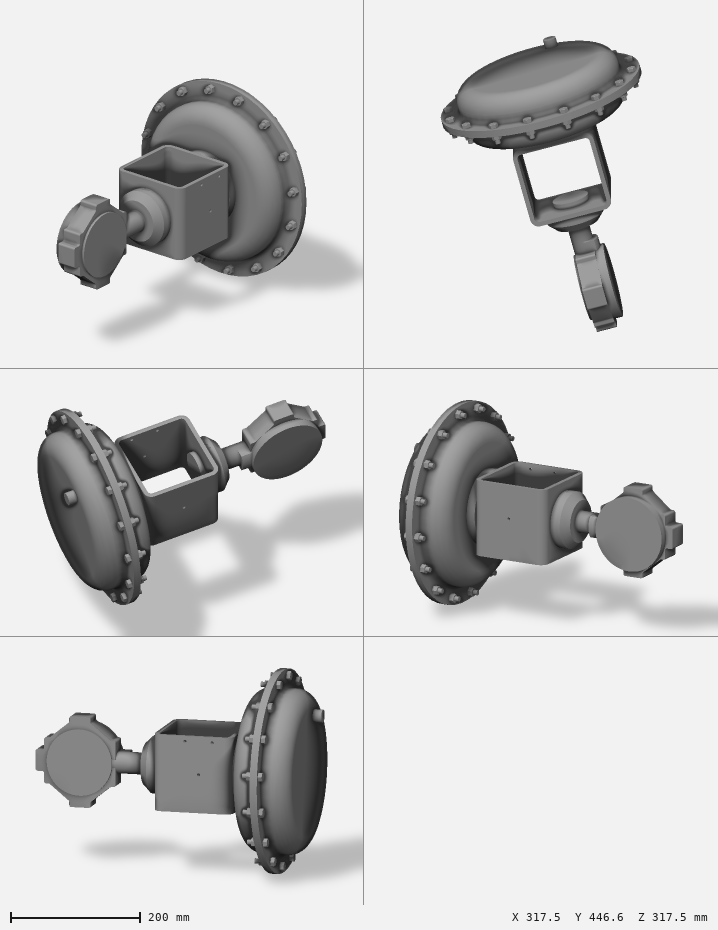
import cadquery as cq
import math


flange_diameter = 317.5
flange_half_thickness = 5.7
casing_radius = 128.8
casing_half_height = 46.1
casing_shoulder_radius = 27.2
casing_root_radius = 6.35

bolt_count = 16
bolt_circle_radius = 147.6
first_bolt_angle = 7.5
hex_across_flats = 12.7
bolt_head_height = 6.4
nut_height = 7.8
bolt_diameter = 7.94
bolt_overhang = 6.8

inlet_diameter = 20.0
inlet_end_y = 60.0
inlet_x = -29.2
inlet_z = 83.8

collar_radius = 60.3
yoke_back_y = -60.3
yoke_depth = 125.8
yoke_width = 128.6
yoke_height = 120.0
yoke_wall = 6.8
yoke_corner_radius = 13.5
yoke_front_y = yoke_back_y - yoke_depth
yoke_mid_y = yoke_back_y - yoke_depth / 2
left_hole_diameter = 5.0
left_hole_z = 6.4
bracket_hole_diameter = 5.0
bracket_hole_y = -113.0
bracket_hole_spacing = 43.4
bracket_hole_z = 51.6

locknut_radius = 28.1
locknut_height = 8.3
hub_radius = 45.0
hub_straight_length = 16.5
hub_cone_length = 12.0
hub_nose_radius = 33.5
hub_end_y = yoke_front_y - hub_straight_length - hub_cone_length

arrow_depth = 0.5
arrow_length = 14.0
arrow_head_length = 5.5
arrow_head_half_width = 5.4
arrow_shaft_half_width = 2.7
arrow_tip_x = -7.5
arrow_y = yoke_front_y - 6.7

overall_length = 446.65
handle_reach = 70.7
handle_y = inlet_end_y - overall_length + handle_reach
grip_half_width = 15.8
grip_box_half_length = 57.2
grip_box_half_height = 36.0
lobe_half_width = 17.0
lobe_top_z = 71.2
lobe_root_z = 62.0
lobe_corner_radius = 3.0
rim_radius = 58.7
rim_left_x = -29.2
dial_radius = 52.0
dial_right_x = 19.9
flank_end_y = 49.0

stem_radius = lobe_half_width
block_start_y = -242.0
block_side_x = -18.7
block_crown_x = -24.8
stem_fillet_radius = 1.5


def cylinder_y(radius, y_from, y_to, x=0, z=0):
    """Cylinder along Y between two Y positions."""
    start = cq.Vector(x, y_from, z)
    direction = cq.Vector(0, y_to - y_from, 0)
    return cq.Workplane(cq.Solid.makeCylinder(radius, abs(y_to - y_from), start, direction))


def cylinder_x(radius, x_from, x_to, y, z=0):
    """Cylinder along +X between two X positions."""
    start = cq.Vector(x_from, y, z)
    return cq.Workplane(cq.Solid.makeCylinder(radius, x_to - x_from, start, cq.Vector(1, 0, 0)))


def casing():
    """Flanged casing with rounded shoulders, mirrored about the flange mid plane."""
    half_arc = math.sqrt(0.5)
    root_y = flange_half_thickness + casing_root_radius
    shoulder_y = casing_half_height - casing_shoulder_radius
    flat_radius = casing_radius - casing_shoulder_radius
    shoulder_mid = (
        flat_radius + casing_shoulder_radius * half_arc,
        shoulder_y + casing_shoulder_radius * half_arc,
    )
    root_mid = (
        casing_radius + casing_root_radius * (1 - half_arc),
        root_y - casing_root_radius * half_arc,
    )
    half = (
        cq.Workplane("XY")
        .lineTo(flange_diameter / 2, 0)
        .lineTo(flange_diameter / 2, flange_half_thickness)
        .lineTo(casing_radius + casing_root_radius, flange_half_thickness)
        .threePointArc(root_mid, (casing_radius, root_y))
        .lineTo(casing_radius, shoulder_y)
        .threePointArc(shoulder_mid, (flat_radius, casing_half_height))
        .lineTo(0, casing_half_height)
        .close()
        .revolve(360, (0, 0, 0), (0, 1, 0))
    )
    return half.union(half.mirror("XZ"))


def chamfered_hex(height):
    """Hexagon prism standing on Z = 0 with its top corners turned off."""
    flat_radius = hex_across_flats / 2
    corner_radius = flat_radius / math.cos(math.radians(30))
    chamfer_drop = corner_radius - flat_radius
    prism = cq.Workplane("XY").polygon(6, 2 * corner_radius).extrude(height)
    turned = (
        cq.Workplane("XZ")
        .lineTo(corner_radius, 0)
        .lineTo(corner_radius, height - chamfer_drop)
        .lineTo(flat_radius, height)
        .lineTo(0, height)
        .close()
        .revolve(360, (0, 0, 0), (0, 1, 0))
    )
    return prism.intersect(turned)


def flange_bolts():
    """Ring of bolts: heads on the back of the flange, nuts and bolt ends on the front."""
    head = chamfered_hex(bolt_head_height).translate((0, 0, flange_half_thickness))
    nut = chamfered_hex(nut_height).translate((0, 0, flange_half_thickness)).mirror("XY")
    shank_length = flange_half_thickness + nut_height + bolt_overhang
    shank = cq.Workplane("XY").circle(bolt_diameter / 2).extrude(-shank_length)
    bolt = head.union(nut).union(shank)
    bolt = bolt.rotate((0, 0, 0), (1, 0, 0), -90).translate((bolt_circle_radius, 0, 0))
    ring = cq.Workplane("XY")
    for index in range(bolt_count):
        angle = first_bolt_angle + index * 360 / bolt_count
        ring = ring.add(bolt.rotate((0, 0, 0), (0, -1, 0), angle))
    return ring


def yoke():
    """Square tube with rounded corners and small holes in its side walls."""
    outer = (
        cq.Workplane("XY")
        .box(yoke_width, yoke_depth, yoke_height)
        .edges("|Z")
        .fillet(yoke_corner_radius)
    )
    inner = (
        cq.Workplane("XY")
        .box(yoke_width - 2 * yoke_wall, yoke_depth - 2 * yoke_wall, yoke_height)
        .edges("|Z")
        .fillet(yoke_corner_radius - yoke_wall)
    )
    tube = outer.cut(inner).translate((0, yoke_mid_y, 0))
    tube = tube.cut(cylinder_x(left_hole_diameter / 2, -yoke_width / 2, 0, yoke_mid_y, left_hole_z))
    bracket_holes = [
        (bracket_hole_y, 0),
        (bracket_hole_y + bracket_hole_spacing / 2, bracket_hole_z),
        (bracket_hole_y - bracket_hole_spacing / 2, bracket_hole_z),
    ]
    for y, z in bracket_holes:
        tube = tube.cut(cylinder_x(bracket_hole_diameter / 2, 0, yoke_width / 2, y, z))
    return tube


def hub():
    """Coned hub with an engraved arrow, and the locknut inside the yoke."""
    cone_start_y = yoke_front_y - hub_straight_length
    body = (
        cq.Workplane("XY")
        .moveTo(0, yoke_front_y)
        .lineTo(hub_radius, yoke_front_y)
        .lineTo(hub_radius, cone_start_y)
        .lineTo(hub_nose_radius, hub_end_y)
        .lineTo(0, hub_end_y)
        .close()
        .revolve(360, (0, 0, 0), (0, 1, 0))
    )
    neck_x = arrow_tip_x + arrow_head_length
    tail_x = arrow_tip_x + arrow_length
    arrow = (
        cq.Workplane("XY")
        .polyline([
            (arrow_tip_x, arrow_y),
            (neck_x, arrow_y + arrow_head_half_width),
            (neck_x, arrow_y + arrow_shaft_half_width),
            (tail_x, arrow_y + arrow_shaft_half_width),
            (tail_x, arrow_y - arrow_shaft_half_width),
            (neck_x, arrow_y - arrow_shaft_half_width),
            (neck_x, arrow_y - arrow_head_half_width),
        ])
        .close()
        .extrude(hub_radius)
    )
    floor = cylinder_y(hub_radius - arrow_depth, yoke_front_y, hub_end_y)
    body = body.cut(arrow.cut(floor))
    inner_face_y = yoke_front_y + yoke_wall
    return body.union(cylinder_y(locknut_radius, yoke_front_y, inner_face_y + locknut_height))


def stem_fillet(face_y, side):
    """Fillet ring between the stem and a face at face_y, on the face's +Y (1) or -Y (-1) side."""
    inset = stem_fillet_radius * (1 - math.sqrt(0.5))
    return (
        cq.Workplane("XY")
        .moveTo(0, face_y)
        .lineTo(stem_radius + stem_fillet_radius, face_y)
        .threePointArc(
            (stem_radius + inset, face_y + side * inset),
            (stem_radius, face_y + side * stem_fillet_radius),
        )
        .lineTo(0, face_y + side * stem_fillet_radius)
        .close()
        .revolve(360, (0, 0, 0), (0, 1, 0))
    )


def stem():
    """Round stem with a crowned half block on its left side, filleted at the hub and the block."""
    rod = cylinder_y(stem_radius, hub_end_y, handle_y)
    block = (
        cq.Workplane("XZ", origin=(0, block_start_y, 0))
        .moveTo(0, stem_radius)
        .lineTo(block_side_x, stem_radius)
        .threePointArc((block_crown_x, 0), (block_side_x, -stem_radius))
        .lineTo(0, -stem_radius)
        .close()
        .extrude(block_start_y - handle_y)
    )
    left_half = (
        cq.Workplane("XY")
        .box(2 * stem_radius, stem_radius, 2 * stem_radius)
        .translate((-stem_radius, block_start_y, 0))
    )
    block_fillet = stem_fillet(block_start_y, 1).intersect(left_half)
    return rod.union(block).union(stem_fillet(hub_end_y, -1)).union(block_fillet)


def handle():
    """Lobed grip between a rim disc on the left and a dial disc on the right."""
    upper = [
        (-handle_reach, lobe_half_width),
        (-grip_box_half_length, lobe_half_width),
        (-grip_box_half_length, grip_box_half_height),
        (-flank_end_y, grip_box_half_height),
        (-lobe_half_width, lobe_root_z),
        (-lobe_half_width, lobe_top_z),
        (lobe_half_width, lobe_top_z),
        (lobe_half_width, lobe_root_z),
        (flank_end_y, grip_box_half_height),
        (grip_box_half_length, grip_box_half_height),
    ]
    lower = [(y, -z) for y, z in reversed(upper)]
    grip = (
        cq.Workplane("YZ")
        .polyline(upper + lower)
        .close()
        .extrude(grip_half_width, both=True)
        .edges("|X")
        .fillet(lobe_corner_radius)
        .translate((0, handle_y, 0))
    )
    rim = cylinder_x(rim_radius, rim_left_x, -grip_half_width, handle_y)
    dial = cylinder_x(dial_radius, grip_half_width, dial_right_x, handle_y)
    return grip.union(rim).union(dial)


inlet = cylinder_y(inlet_diameter / 2, casing_half_height, inlet_end_y, inlet_x, inlet_z)
collar = cylinder_y(collar_radius, -casing_half_height, yoke_back_y)

result = (
    casing()
    .union(flange_bolts())
    .union(inlet)
    .union(collar)
    .union(yoke())
    .union(hub())
    .union(stem())
    .union(handle())
)